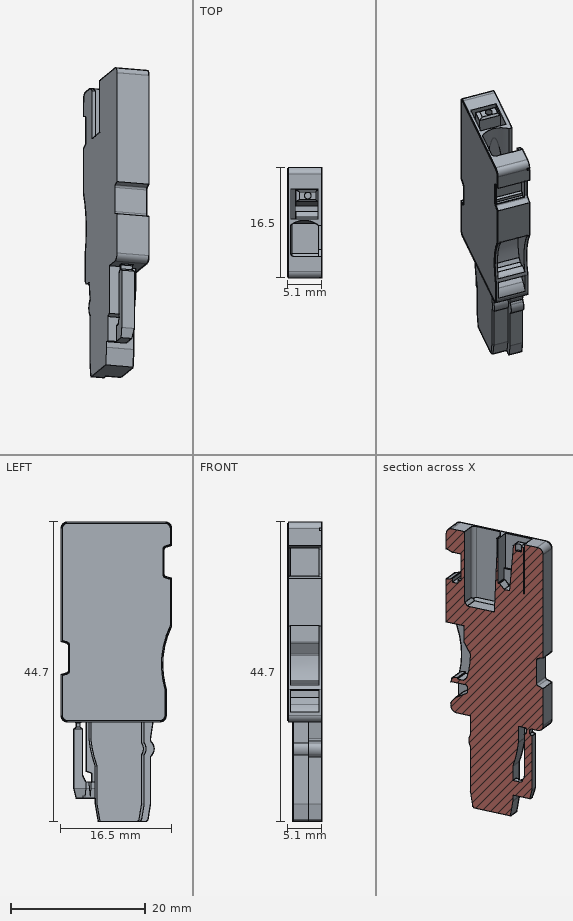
import cadquery as cq


thickness = 5.1
depth = 16.5
total_height = 44.65
plug_height = 14.84
corner_radius = 1.0

cover_thickness = 0.1
cover_inset = 0.2

lip_bottom_z = 41.15
front_notch_top_z = 40.8
front_notch_bottom_z = 36.6
grip_land_top_z = 36.25
front_notch_y = 1.12
grip_start_z = 29.15
grip_middle_z = 23.6
grip_middle_y = 1.33
grip_end_z = 19.72
lower_front_y = 0.8
back_notch_y = depth - 1.1
back_notch_top_z = 26.85
back_notch_bottom_z = 21.9
back_notch_slope = 0.35
notch_radius = 0.35

pocket_x_min = 0.45
pocket_x_max = 4.65
label_pocket_x_min = 0.2
label_pocket_y = 2.5
label_pocket_bevel = 0.25
label_pocket_bottom_z = 36.0
label_step_y = 2.0
label_step_z = 36.5
grip_pocket_top_z = 29.25
grip_upper_y = 3.0
grip_back_y = 4.1
grip_overhang_top_z = 26.65
grip_overhang_bottom_z = 24.9
grip_overhang_radius = 0.4
grip_curve_middle = (3.95, 22.9)
grip_curve_end = (3.5, 20.95)
grip_groove_y = (2.0, 3.0)
grip_groove_z = 20.45
grip_ledge_z = 20.68
grip_ledge_middle = (1.35, 20.56)
grip_ledge_front = (0.85, 20.25)
window_top_z = grip_end_z
window_roof_bevel = 0.2
window_back_y = 3.6
window_ramp_top_z = 18.5
window_curve_start = (1.75, 17.43)
window_curve_middle = (1.24, 16.98)
window_bottom_z = 16.3

lever_opening_x = (0.5, 4.48)
lever_opening_y = (8.85, 13.3)
lever_opening_depth = 8.0
lever_x = (1.2, lever_opening_x[1])
lever_back_y = 13.15
lever_front_y = 11.7
lever_foot_y = 10.75
lever_drop = 0.3
lever_edge = 0.3
lever_left_edge = 0.55
lever_hole_diameter = 1.0
lever_hole_depth = 1.0
lever_hole_x = 3.0
lever_hole_y = 12.3
opening_ramp_y = (9.1, 9.9)
opening_ramp_rise = 0.8
opening_ledge_x = (0.75, 1.05)
opening_ledge_rise = 2.5

funnel_x = (0.4, 4.57)
funnel_front_y = 3.22
funnel_side_end_y = 7.86
funnel_arch_y = 8.62
funnel_depth = 12.0
funnel_taper_height = 0.5
funnel_back_taper_height = 10.0
funnel_corner_radius = 0.6
funnel_floor_x_min = 0.67
funnel_floor_y = (3.65, 8.16)
side_slot_depth = 8.0
side_slot_front_y = 4.3
side_slot_shoulder = 0.68

catch_x = 4.72
catch_z = (43.38, 43.75)
catch_depth = 0.1

near_x = (0.72, 3.1)
far_x = (near_x[1], thickness)
near_front_y = 4.1
near_upper_back_y = 12.33
near_lower_back_y = 11.4
near_curve_start_z = 12.3
near_curve_middle = (11.97, 10.2)
near_curve_end_z = 8.25
near_tip_y = (4.5, 10.95)
near_bevel_x = 0.15
near_front_bevel_y = 0.4
near_back_bevel_y = 0.28
far_root_front_y = 2.77
far_front_y = 3.15
far_neck_z = 12.37
far_back_y = 12.74
far_step_y = 11.95
far_step_z = 7.2
far_step_bevel = 0.3
far_tip_y = 3.53
taper_start_z = 2.6
tip_bevel = 0.25
bump_z = 10.85
near_bump_half_height = 0.9
near_bump_rise = 0.27
far_bump_half_height = 1.2
far_bump_rise = 0.55
far_bump_flank = (0.22, 0.3)

leg_x = (1.75, 3.75)
leg_y = (13.27, 14.6)
leg_neck_y = (13.65, 14.24)
leg_neck_z = (14.08, 14.68)
leg_neck_flare = 0.15
leg_neck_recess = 0.25
leg_shoulder_z = 13.78
leg_ramp_z = 6.9
leg_toe_y = 12.78
leg_bottom_y = (12.94, 14.25)
foot_x_min = 1.9
foot_y = (11.2, 13.2)
foot_top_z = 5.92
foot_taper_z = 4.95
foot_bottom_z = 3.47
leg_taper = 0.35
foot_taper = 0.15
foot_groove_depth = 0.3
foot_groove_y = (11.98, 12.35)
foot_groove_tip = (12.12, 3.8)


def side_sketch(x):
    """Workplane parallel to YZ at the given X."""
    return cq.Workplane("YZ").workplane(offset=x)


def side_prism(points, x_min, x_max):
    """Extrude a polygon of (y, z) points between two X planes."""
    return side_sketch(x_min).polyline(points).close().extrude(x_max - x_min)


def box(x_range, y_range, z_range):
    """Axis-aligned box between the given limits."""
    size = [end - start for start, end in (x_range, y_range, z_range)]
    return cq.Workplane("XY").box(*size, centered=False).translate((x_range[0], y_range[0], z_range[0]))


def edges_along_x(body, places, size):
    """Edges of the body parallel to X that pass through the given (y, z) places."""
    selection = None
    for y, z in places:
        near = cq.selectors.BoxSelector((0, y - size, z - size), (thickness, y + size, z + size))
        edges = body.edges("|X").edges(near)
        selection = edges if selection is None else selection.add(edges)
    return selection


def make_housing():
    body = (
        side_sketch(cover_thickness)
        .moveTo(0, total_height)
        .lineTo(0, lip_bottom_z)
        .lineTo(front_notch_y, front_notch_top_z)
        .lineTo(front_notch_y, front_notch_bottom_z)
        .lineTo(0, grip_land_top_z)
        .lineTo(0, grip_start_z)
        .threePointArc((grip_middle_y, grip_middle_z), (lower_front_y, grip_end_z))
        .lineTo(lower_front_y, plug_height)
        .lineTo(depth, plug_height)
        .lineTo(depth, back_notch_bottom_z)
        .lineTo(back_notch_y, back_notch_bottom_z + back_notch_slope)
        .lineTo(back_notch_y, back_notch_top_z - back_notch_slope)
        .lineTo(depth, back_notch_top_z)
        .lineTo(depth, total_height)
        .close()
        .extrude(thickness - cover_thickness)
    )
    outer_corners = [
        (0, total_height),
        (depth, total_height),
        (depth, plug_height),
        (lower_front_y, plug_height),
    ]
    notch_corners = [
        (front_notch_y, front_notch_top_z),
        (front_notch_y, front_notch_bottom_z),
        (back_notch_y, back_notch_bottom_z + back_notch_slope),
        (back_notch_y, back_notch_top_z - back_notch_slope),
    ]
    body = edges_along_x(body, outer_corners, notch_radius).fillet(corner_radius)
    body = edges_along_x(body, notch_corners, notch_radius / 2).fillet(notch_radius)
    cover = body.faces("<X").wires().toPending().offset2D(-cover_inset).extrude(-cover_thickness)
    return body.union(cover)


def cut_front_pockets(body):
    label = side_prism(
        [
            (0, front_notch_top_z),
            (label_pocket_y, front_notch_top_z),
            (label_pocket_y, label_step_z),
            (label_step_y, label_step_z),
            (label_step_y, label_pocket_bottom_z),
            (front_notch_y, label_pocket_bottom_z),
            (front_notch_y, front_notch_bottom_z),
            (0, front_notch_bottom_z),
        ],
        label_pocket_x_min,
        pocket_x_max,
    )
    label = label.edges("|Z and >Y and <X").chamfer(label_pocket_bevel)
    grip = (
        side_sketch(pocket_x_min)
        .moveTo(0, grip_pocket_top_z)
        .lineTo(grip_upper_y, grip_pocket_top_z)
        .lineTo(grip_upper_y, grip_overhang_top_z)
        .lineTo(grip_back_y, grip_overhang_bottom_z)
        .threePointArc(grip_curve_middle, grip_curve_end)
        .lineTo(grip_groove_y[1], grip_groove_z)
        .lineTo(grip_groove_y[0], grip_groove_z)
        .lineTo(grip_groove_y[0], grip_ledge_z)
        .threePointArc(grip_ledge_middle, grip_ledge_front)
        .lineTo(0, grip_ledge_front[1])
        .close()
        .extrude(pocket_x_max - pocket_x_min)
    )
    overhang_corners = [
        (grip_upper_y, grip_overhang_top_z),
        (grip_back_y, grip_overhang_bottom_z),
    ]
    grip = edges_along_x(grip, overhang_corners, grip_overhang_radius / 2).fillet(grip_overhang_radius)
    window = (
        side_sketch(pocket_x_min)
        .moveTo(0, window_top_z)
        .lineTo(window_back_y - window_roof_bevel, window_top_z)
        .lineTo(window_back_y, window_top_z - window_roof_bevel)
        .lineTo(window_back_y, window_ramp_top_z)
        .lineTo(*window_curve_start)
        .threePointArc(window_curve_middle, (lower_front_y, window_bottom_z))
        .lineTo(0, window_bottom_z)
        .close()
        .extrude(pocket_x_max - pocket_x_min)
    )
    catch = box((catch_x, thickness), (0, catch_depth), catch_z)
    return body.cut(label).cut(grip).cut(window).cut(catch)


def make_lever(floor_z):
    top_z = total_height - lever_drop
    lever = side_prism(
        [
            (lever_back_y, floor_z),
            (lever_back_y, top_z - lever_edge),
            (lever_back_y - lever_edge, top_z),
            (lever_front_y, top_z),
            (lever_front_y - lever_edge, top_z - lever_edge),
            (lever_foot_y, floor_z),
        ],
        *lever_x,
    )
    lever = lever.faces(">Z").edges("<X").chamfer(lever_left_edge, lever_edge)
    lever = lever.faces(">Z").edges(">X").chamfer(lever_edge)
    return (
        lever.faces(">Z")
        .workplane(origin=(lever_hole_x, lever_hole_y, top_z))
        .hole(lever_hole_diameter, lever_hole_depth)
    )


def cut_lever_opening(body):
    floor_z = total_height - lever_opening_depth
    opening = box(lever_opening_x, lever_opening_y, (floor_z, total_height))
    ramp_top_z = floor_z + opening_ramp_rise
    ramp = side_prism(
        [
            (opening_ramp_y[1], floor_z),
            (opening_ramp_y[0], ramp_top_z),
            (lever_opening_y[0], ramp_top_z),
            (lever_opening_y[0], floor_z),
        ],
        *lever_x,
    )
    ledge = box(opening_ledge_x, lever_opening_y, (floor_z, floor_z + opening_ledge_rise))
    return body.cut(opening).union(make_lever(floor_z)).union(ramp).union(ledge)


def cut_funnel(body):
    middle_x = sum(funnel_x) / 2
    floor_z = total_height - funnel_depth
    taper_z = floor_z + funnel_taper_height
    back_taper_z = floor_z + funnel_back_taper_height
    mouth = (
        cq.Workplane("XY")
        .workplane(offset=floor_z)
        .moveTo(funnel_x[0], funnel_front_y)
        .lineTo(funnel_x[1], funnel_front_y)
        .lineTo(funnel_x[1], funnel_side_end_y)
        .threePointArc((middle_x, funnel_arch_y), (funnel_x[0], funnel_side_end_y))
        .close()
        .extrude(funnel_depth)
    )
    mouth = mouth.edges("|Z and <X and <Y").fillet(funnel_corner_radius)
    front_wedge = side_prism(
        [(funnel_front_y, taper_z), (funnel_floor_y[0], floor_z), (funnel_front_y, floor_z)],
        *funnel_x,
    )
    back_wedge = side_prism(
        [(funnel_arch_y, back_taper_z), (funnel_floor_y[1], floor_z), (funnel_arch_y, floor_z)],
        *funnel_x,
    )
    left_wedge = (
        cq.Workplane("XZ")
        .workplane(offset=-funnel_front_y)
        .polyline([(funnel_x[0], taper_z), (funnel_floor_x_min, floor_z), (funnel_x[0], floor_z)])
        .close()
        .extrude(funnel_front_y - funnel_arch_y)
    )
    mouth = mouth.cut(front_wedge).cut(back_wedge).cut(left_wedge)
    slot_bottom_z = total_height - side_slot_depth
    slot = side_prism(
        [
            (funnel_front_y, total_height),
            (side_slot_front_y, total_height - side_slot_shoulder),
            (side_slot_front_y, slot_bottom_z),
            (funnel_side_end_y, slot_bottom_z),
            (funnel_side_end_y, total_height),
        ],
        funnel_x[1],
        thickness,
    )
    return body.cut(mouth).cut(slot)


def near_front_outline(sketch, inset):
    """Draw the near blade's front edge, root to tip, moved back by the inset."""
    front_y = near_front_y + inset
    return (
        sketch.moveTo(front_y, plug_height)
        .lineTo(front_y, bump_z + near_bump_half_height)
        .threePointArc((front_y - near_bump_rise, bump_z), (front_y, bump_z - near_bump_half_height))
        .lineTo(front_y, taper_start_z)
        .lineTo(near_tip_y[0] + inset, tip_bevel)
        .lineTo(near_tip_y[0] + inset + tip_bevel, 0)
    )


def near_blade_outline(sketch, front_inset, back_inset):
    """Closed near blade outline with its front and back edges moved inwards."""
    curve_middle = (near_curve_middle[0] - back_inset, near_curve_middle[1])
    return (
        near_front_outline(sketch, front_inset)
        .lineTo(near_tip_y[1] - back_inset, 0)
        .lineTo(near_lower_back_y - back_inset, taper_start_z)
        .lineTo(near_lower_back_y - back_inset, near_curve_end_z)
        .threePointArc(curve_middle, (near_upper_back_y - back_inset, near_curve_start_z))
        .lineTo(near_upper_back_y - back_inset, plug_height)
        .close()
    )


def make_near_blade():
    bevel_end_x = near_x[0] + near_bevel_x
    core = near_blade_outline(side_sketch(bevel_end_x), 0, 0).extrude(near_x[1] - bevel_end_x)
    face = near_blade_outline(side_sketch(near_x[0]), near_front_bevel_y, near_back_bevel_y)
    face = face.workplane(offset=near_bevel_x)
    bevel = near_blade_outline(face, 0, 0).loft(ruled=True, combine=True)
    return core.union(bevel)


def make_far_blade():
    flank_y = far_front_y - far_bump_flank[0]
    flank_z = far_bump_half_height - far_bump_flank[1]
    return (
        side_sketch(far_x[0])
        .moveTo(far_root_front_y, plug_height)
        .lineTo(far_front_y, far_neck_z)
        .lineTo(far_front_y, bump_z + far_bump_half_height)
        .lineTo(flank_y, bump_z + flank_z)
        .threePointArc((far_front_y - far_bump_rise, bump_z), (flank_y, bump_z - flank_z))
        .lineTo(far_front_y, bump_z - far_bump_half_height)
        .lineTo(far_front_y, taper_start_z)
        .lineTo(far_tip_y, tip_bevel)
        .lineTo(far_tip_y + tip_bevel, 0)
        .lineTo(near_tip_y[1], 0)
        .lineTo(near_lower_back_y, taper_start_z)
        .lineTo(near_lower_back_y, foot_bottom_z)
        .lineTo(far_step_y, foot_bottom_z)
        .lineTo(far_step_y, far_step_z)
        .lineTo(far_back_y, far_step_z + far_step_bevel)
        .lineTo(far_back_y, plug_height)
        .close()
        .extrude(far_x[1] - far_x[0])
    )


def cut_foot_taper(body, x_min, taper):
    """Slope the -X side of the body inwards towards the foot's lower end."""
    wedge = (
        cq.Workplane("XZ")
        .polyline([(x_min, foot_taper_z), (x_min + taper, foot_bottom_z), (x_min, foot_bottom_z)])
        .close()
        .extrude(-depth)
    )
    return body.cut(wedge)


def make_latch_leg():
    leg = side_prism(
        [
            (leg_neck_y[0] - leg_neck_flare, plug_height),
            (leg_neck_y[0], leg_neck_z[1]),
            (leg_neck_y[0], leg_neck_z[0]),
            (leg_y[0], leg_shoulder_z),
            (leg_y[0], leg_ramp_z),
            (leg_toe_y, foot_top_z),
            (leg_toe_y, foot_taper_z),
            (leg_bottom_y[0], foot_bottom_z),
            (leg_bottom_y[1], foot_bottom_z),
            (leg_y[1], foot_taper_z),
            (leg_y[1], leg_shoulder_z),
            (leg_neck_y[1], leg_neck_z[0]),
            (leg_neck_y[1], leg_neck_z[1]),
            (leg_neck_y[1] + leg_neck_flare, plug_height),
        ],
        *leg_x,
    )
    neck_x = leg_x[0] + leg_neck_recess
    neck_recess = (
        cq.Workplane("XZ")
        .moveTo(leg_x[0], leg_shoulder_z)
        .lineTo(neck_x, leg_neck_z[0])
        .lineTo(neck_x, leg_neck_z[1])
        .lineTo(neck_x - leg_neck_flare, plug_height)
        .lineTo(leg_x[0], plug_height)
        .close()
        .extrude(-depth)
    )
    leg = leg.cut(neck_recess)
    foot = box((foot_x_min, leg_x[1]), foot_y, (foot_bottom_z, foot_top_z))
    leg = cut_foot_taper(leg, leg_x[0], leg_taper)
    foot = cut_foot_taper(foot, foot_x_min, foot_taper)
    groove = side_prism(
        [(foot_groove_y[0], foot_top_z), foot_groove_tip, (foot_groove_y[1], foot_top_z)],
        foot_x_min,
        foot_x_min + foot_groove_depth,
    )
    return leg.union(foot.cut(groove))


housing = make_housing()
housing = cut_front_pockets(housing)
housing = cut_lever_opening(housing)
housing = cut_funnel(housing)
result = housing.union(make_near_blade()).union(make_far_blade()).union(make_latch_leg())